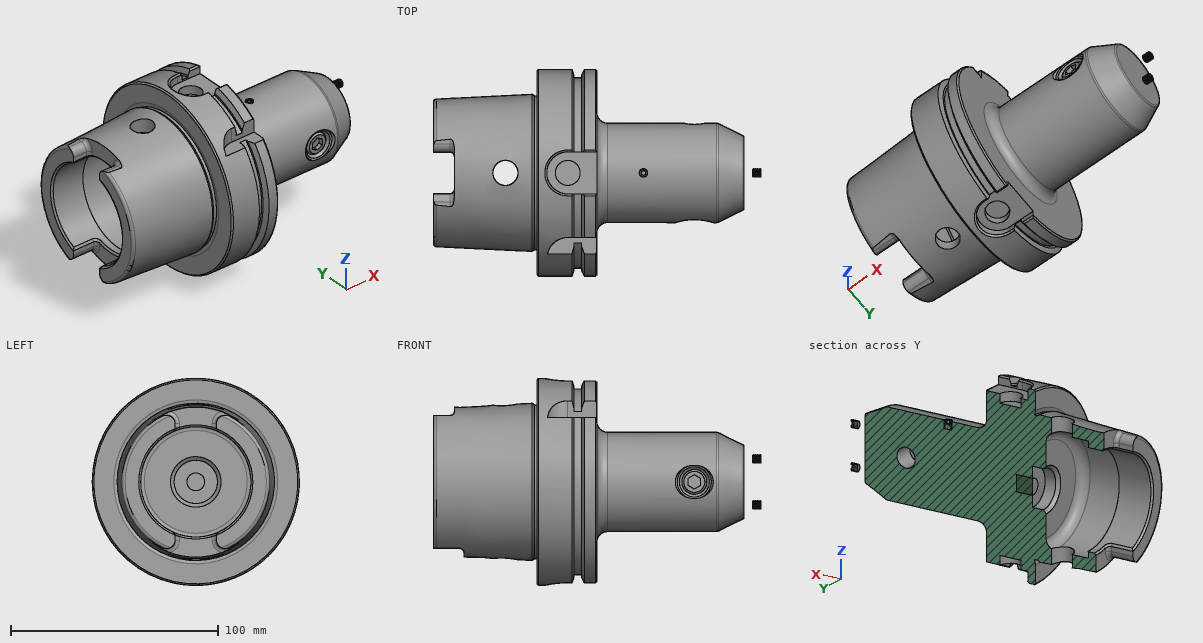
import cadquery as cq
import math


taper_end_radius = 35.6
taper_large_radius = 38.0
taper_length = 47.6
taper_rim_fillet = 1.6
neck_shoulder_radius = 37.5
neck_shoulder_x = 48.5
neck_radius = 37.2
neck_start = 48.9

flange_radius = 50.0
flange_face = 50.0
flange_end = 79.0
flange_edge_chamfer = 0.8
face_recess_radius = 39.5
face_recess_depth = 0.6

groove_floor_radius = 46.0
groove_wall_radius = 47.2
groove_left = 67.9
groove_right = 71.5
groove_mouth_left = 67.0
groove_mouth_right = 73.0

shank_radius = 24.0
shank_fillet = 5.0
nose_start = 137.2
nose_end = 150.0
nose_end_radius = 17.7
nose_shoulder_fillet = 2.2
nose_rim_fillet = 1.0

mouth_radius = 26.6
bore_edge_chamfer = 1.0
chamber_start = 19.5
chamber_radius = 29.9
chamber_floor = 43.8
chamber_fillet = 5.0
pipe_seat_mouth_radius = 12.2
pipe_seat_radius = 10.5
pipe_seat_depth = 7.9
pipe_seat_floor = chamber_floor + pipe_seat_depth

slot_width = 20.0
slot_floor_top = 10.1
slot_floor_bottom = 14.7
slot_shelf_height = 32.1
slot_edge_radius = 4.0
slot_floor_fillet = 2.0

wall_hole_x = 34.8
wall_hole_radius = 6.0

keyway_width = 20.3
keyway_centre_x = 64.9
keyway_floor_height = 44.0
keyway_chamfer = 1.0
keyway_hole_radius = 6.0
keyway_hole_depth = 4.9

notch_offset = 31.2
notch_corner_radius = 10.0

clamp_from_nose_end = 24.0
clamp_x = nose_end - clamp_from_nose_end
clamp_radius = 6.0
clamp_tip_radius = 5.0
clamp_head_depth = 2.2
clamp_length = 11.1
clamp_hex_flats = 6.0
clamp_hex_depth = 2.4
clamp_sink_edges = [(9.2, 0), (8.2, 1.3), (7.3, 1.7), (clamp_radius, 3.2)]
cross_bore_radius = 5.2

small_screw_radius = 2.0
small_screw_core_radius = 1.7
small_screw_length = 4.1
small_screw_threads = 6
small_screw_hex_flats = 2.0
small_screw_hex_depth = 1.6
plug_x = 101.5
plug_head_depth = 0.3
loose_screw_offset = 11.1
overall_length = 158.3

stop_radius = 4.3
stop_length = 9.5

overrun = 7.9
pick_margin = 0.2
cut_reach = flange_radius + overrun


def turned(points):
    """Solid of revolution about X from (x, radius) points."""
    return cq.Workplane("XY").polyline(points).close().revolve(360, (0, 0, 0), (1, 0, 0))


def radial_plane(x, direction, distance):
    """Workplane facing away from the X axis along a direction, at a distance from it."""
    origin = cq.Vector(x, 0, 0) + cq.Vector(*direction) * distance
    return cq.Workplane(cq.Plane(origin=origin.toTuple(), xDir=(1, 0, 0), normal=direction))


def edges_in_box(solid, low, high):
    return solid.edges(cq.selectors.BoxSelector(low, high, boundingbox=True))


def make_taper():
    """Outside of the hollow taper and its neck, running into the flange."""
    taper = turned([
        (0, 0),
        (0, taper_end_radius),
        (taper_length, taper_large_radius),
        (neck_shoulder_x, neck_shoulder_radius),
        (neck_start, neck_radius),
        (groove_left, neck_radius),
        (groove_left, 0),
    ])
    return taper.faces("<X").edges().fillet(taper_rim_fillet)


def make_shank():
    """Shank with a concave fillet at the flange and a conical nose."""
    shank = turned([
        (groove_left, 0),
        (groove_left, shank_radius),
        (nose_start, shank_radius),
        (nose_end, nose_end_radius),
        (nose_end, 0),
    ])
    shank = shank.faces(">X").edges().fillet(nose_rim_fillet)
    shank = edges_in_box(
        shank,
        (nose_start - pick_margin, -cut_reach, -cut_reach),
        (nose_start + pick_margin, cut_reach, cut_reach),
    ).fillet(nose_shoulder_fillet)
    collar = (
        cq.Workplane("XY")
        .moveTo(flange_end, 0)
        .lineTo(flange_end, shank_radius + shank_fillet)
        .radiusArc((flange_end + shank_fillet, shank_radius), -shank_fillet)
        .lineTo(flange_end + shank_fillet, 0)
        .close()
        .revolve(360, (0, 0, 0), (1, 0, 0))
    )
    return shank.union(collar)


def make_keyway_cutter(side):
    """Round-ended keyway open towards +X, with its blind hole; side is 1 for +Z and -1 for -Z."""
    direction = (0, 0, side)
    run_out = flange_end + overrun - keyway_centre_x
    floor = radial_plane(keyway_centre_x, direction, keyway_floor_height)
    hole_floor = radial_plane(keyway_centre_x, direction, keyway_floor_height - keyway_hole_depth)
    round_end = floor.circle(keyway_width / 2).extrude(overrun)
    straight = floor.center(run_out / 2, 0).rect(run_out, keyway_width).extrude(overrun)
    hole = hole_floor.circle(keyway_hole_radius).extrude(keyway_hole_depth)
    return round_end.union(straight).union(hole)


def chamfer_keyway_edges(flange, side):
    """Chamfer the edges where one keyway meets the round outside of the flange."""
    half_width = keyway_width / 2
    edge_height = math.sqrt(flange_radius ** 2 - half_width ** 2)
    low_z, high_z = sorted((side * (edge_height - pick_margin), side * cut_reach))
    start_x = keyway_centre_x - half_width
    return edges_in_box(
        flange,
        (start_x - pick_margin, -half_width - pick_margin, low_z),
        (flange_end + pick_margin, half_width + pick_margin, high_z),
    ).chamfer(keyway_chamfer)


def make_flange_envelope():
    """Turned shape of the flange, with the gripper groove and chamfered rims."""
    return turned([
        (flange_face, 0),
        (flange_face, flange_radius - flange_edge_chamfer),
        (flange_face + flange_edge_chamfer, flange_radius),
        (groove_mouth_left, flange_radius),
        (groove_left, groove_wall_radius),
        (groove_left, groove_floor_radius),
        (groove_right, groove_floor_radius),
        (groove_right, groove_wall_radius),
        (groove_mouth_right, flange_radius),
        (flange_end - flange_edge_chamfer, flange_radius),
        (flange_end, flange_radius - flange_edge_chamfer),
        (flange_end, 0),
    ])


def make_flange():
    """Flange with keyways, gripper groove, orientation notch and face recess."""
    flange = cq.Workplane("YZ", origin=(flange_face, 0, 0)).circle(flange_radius).extrude(flange_end - flange_face)
    for side in (1, -1):
        flange = flange.cut(make_keyway_cutter(side))
        flange = chamfer_keyway_edges(flange, side)
    flange = flange.intersect(make_flange_envelope())
    return flange.cut(make_notch_cutter()).cut(make_face_recess())


def make_notch_cutter():
    """Corner cut with a flat floor, a flat wall and a rounded closed end."""
    start_x = keyway_centre_x - notch_corner_radius
    notch = cq.Workplane("XY", origin=(0, 0, notch_offset)).moveTo(start_x, -cut_reach)
    notch = notch.lineTo(start_x, -notch_offset - notch_corner_radius)
    notch = notch.radiusArc((keyway_centre_x, -notch_offset), notch_corner_radius)
    notch = notch.lineTo(flange_end + overrun, -notch_offset)
    notch = notch.lineTo(flange_end + overrun, -cut_reach)
    return notch.close().extrude(cut_reach)


def make_face_recess():
    """Shallow conical recess round the neck in the flange face."""
    return turned([
        (flange_face, neck_radius),
        (flange_face, face_recess_radius),
        (flange_face + face_recess_depth, neck_radius),
    ])


def make_taper_cavity():
    """Mouth, wider clamping chamber and coolant pipe seat inside the taper."""
    mouth = cq.Workplane("YZ").circle(mouth_radius).extrude(chamber_start)
    chamber = cq.Workplane("YZ", origin=(chamber_start, 0, 0)).circle(chamber_radius)
    chamber = chamber.extrude(chamber_floor - chamber_start).faces(">X").edges().fillet(chamber_fillet)
    sink_depth = pipe_seat_mouth_radius - pipe_seat_radius
    seat = turned([
        (chamber_floor, 0),
        (chamber_floor, pipe_seat_mouth_radius),
        (chamber_floor + sink_depth, pipe_seat_radius),
        (pipe_seat_floor, pipe_seat_radius),
        (pipe_seat_floor, 0),
    ])
    return mouth.union(chamber).union(seat)


def make_drive_slot_cutter(side, floor_x):
    """Slot across one side of the taper end, flaring out to a flat shelf above rounded edges."""
    half_width = slot_width / 2
    bend = half_width + slot_edge_radius
    low = slot_shelf_height - slot_edge_radius
    cutter = (
        cq.Workplane("YZ", origin=(-overrun, 0, 0))
        .moveTo(-half_width, 0)
        .lineTo(-half_width, low)
        .radiusArc((-bend, slot_shelf_height), -slot_edge_radius)
        .lineTo(-cut_reach, slot_shelf_height)
        .lineTo(-cut_reach, cut_reach)
        .lineTo(cut_reach, cut_reach)
        .lineTo(cut_reach, slot_shelf_height)
        .lineTo(bend, slot_shelf_height)
        .radiusArc((half_width, low), -slot_edge_radius)
        .lineTo(half_width, 0)
        .close()
        .extrude(overrun + floor_x)
    )
    cutter = cutter.faces(">X").edges().fillet(slot_floor_fillet)
    return cutter if side > 0 else cutter.mirror("XY")


def make_clamp_seat():
    """Countersunk screw hole on the -Y side with a drilled hole through to the +Y side."""
    cross_bore = radial_plane(clamp_x, (0, 1, 0), -shank_radius).circle(cross_bore_radius).extrude(2 * shank_radius)
    head_y = -shank_radius + clamp_head_depth
    hole = radial_plane(clamp_x, (0, -1, 0), -head_y - clamp_length).circle(clamp_radius)
    hole = hole.extrude(clamp_length + overrun)
    sink_bottom = clamp_sink_edges[-1][1]
    profile = [(0, -shank_radius)]
    profile += [(radius, depth - shank_radius) for radius, depth in clamp_sink_edges]
    profile += [(0, sink_bottom - shank_radius)]
    sink = cq.Workplane("XY").polyline(profile).close().revolve(360, (0, 0, 0), (0, 1, 0))
    sink = sink.translate((clamp_x, 0, 0))
    return cross_bore.union(hole).union(sink)


def make_plug_seat():
    bottom = shank_radius - plug_head_depth - small_screw_length
    return radial_plane(plug_x, (0, 0, 1), bottom).circle(small_screw_radius).extrude(small_screw_length + overrun)


def make_wall_hole():
    """Hole across the whole taper, parallel to Z."""
    return radial_plane(wall_hole_x, (0, 0, 1), -cut_reach).circle(wall_hole_radius).extrude(2 * cut_reach)


def chamfer_bore_edges(housing):
    """Chamfer the edge of the bore mouth, which steps back into the drive slots."""
    bore_reach = mouth_radius + pick_margin
    return edges_in_box(
        housing,
        (-pick_margin, -bore_reach, -bore_reach),
        (slot_floor_bottom + pick_margin, bore_reach, bore_reach),
    ).chamfer(bore_edge_chamfer)


def make_housing(stop_screw):
    housing = make_flange().union(make_taper()).union(make_shank())
    housing = housing.cut(make_taper_cavity())
    housing = housing.cut(make_drive_slot_cutter(1, slot_floor_top))
    housing = housing.cut(make_drive_slot_cutter(-1, slot_floor_bottom))
    housing = chamfer_bore_edges(housing)
    housing = housing.cut(make_wall_hole()).cut(make_clamp_seat()).cut(make_plug_seat())
    return housing.cut(stop_screw)


def hex_socket(workplane, flats, depth):
    """Hexagonal prism going down from a workplane, with two corners on its local Y axis."""
    turned_plane = workplane.transformed(rotate=(0, 0, 30))
    return turned_plane.polygon(6, flats / math.cos(math.pi / 6)).extrude(-depth)


def make_clamp_screw():
    head = radial_plane(clamp_x, (0, -1, 0), shank_radius - clamp_head_depth)
    screw = head.circle(clamp_radius).extrude(-clamp_length)
    screw = screw.faces("<Y").edges().chamfer(clamp_radius - clamp_tip_radius)
    return screw.cut(hex_socket(head, clamp_hex_flats, clamp_hex_depth))


def make_small_screw(plane):
    """Threaded screw going down from its head plane, with ring-shaped thread ridges."""
    pitch = small_screw_length / small_screw_threads
    outline = cq.Workplane("XZ").moveTo(0, 0).lineTo(small_screw_core_radius, 0)
    for turn in range(small_screw_threads):
        outline = outline.lineTo(small_screw_radius, -(turn + 0.5) * pitch)
        outline = outline.lineTo(small_screw_core_radius, -(turn + 1) * pitch)
    screw = outline.lineTo(0, -small_screw_length).close().revolve(360, (0, 0, 0), (0, 1, 0))
    screw = screw.cut(hex_socket(cq.Workplane("XY"), small_screw_hex_flats, small_screw_hex_depth))
    return screw.val().moved(cq.Location(plane))


def make_stop_screw():
    return cq.Workplane("YZ", origin=(pipe_seat_floor, 0, 0)).circle(stop_radius).extrude(stop_length)


stop_screw = make_stop_screw()
housing = make_housing(stop_screw)
clamp_screw = make_clamp_screw()
plug_screw = make_small_screw(cq.Plane((plug_x, 0, shank_radius - plug_head_depth), (1, 0, 0), (0, 0, 1)))
loose_screws = [
    make_small_screw(cq.Plane((overall_length, 0, side * loose_screw_offset), (0, 1, 0), (1, 0, 0)))
    for side in (1, -1)
]

result = cq.Compound.makeCompound([
    housing.val(),
    clamp_screw.val(),
    stop_screw.val(),
    plug_screw,
    *loose_screws,
])